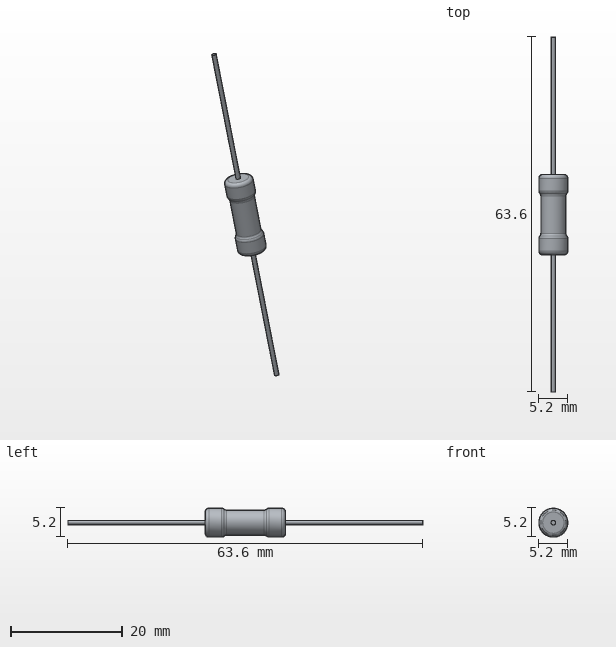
import cadquery as cq
import math

overall_length = 63.6
body_length = 14.45
end_diameter = 5.2
waist_diameter = 4.5
lead_diameter = 0.8
end_rounding = 0.7
shoulder_hollow = 0.7
waist_length = 6.7

half_body = body_length / 2
half_waist = waist_length / 2
end_radius = end_diameter / 2
waist_radius = waist_diameter / 2
lead_length = (overall_length - body_length) / 2

shoulder_step = end_radius - waist_radius
shoulder_angle = math.acos(1 - shoulder_step / (end_rounding + shoulder_hollow))
shoulder_length = (end_rounding + shoulder_hollow) * math.sin(shoulder_angle)
shoulder_outer = half_waist + shoulder_length


def hollow_point(angle, side):
    """Radius and Y position on the concave arc, turned from its waist end."""
    return (
        waist_radius + shoulder_hollow * (1 - math.cos(angle)),
        side * (half_waist + shoulder_hollow * math.sin(angle)),
    )


def crown_point(angle, side):
    """Radius and Y position on the convex arc, turned from its end-cylinder end."""
    return (
        end_radius - end_rounding * (1 - math.cos(angle)),
        side * (shoulder_outer - end_rounding * math.sin(angle)),
    )


def make_body():
    """Waisted resistor body, revolved from its profile and rounded at both rims."""
    middle = shoulder_angle / 2
    profile = (
        cq.Workplane("XY")
        .moveTo(0, -half_body)
        .lineTo(end_radius, -half_body)
        .lineTo(end_radius, -shoulder_outer)
        .threePointArc(crown_point(middle, -1), crown_point(shoulder_angle, -1))
        .threePointArc(hollow_point(middle, -1), (waist_radius, -half_waist))
        .lineTo(waist_radius, half_waist)
        .threePointArc(hollow_point(middle, 1), hollow_point(shoulder_angle, 1))
        .threePointArc(crown_point(middle, 1), (end_radius, shoulder_outer))
        .lineTo(end_radius, half_body)
        .lineTo(0, half_body)
        .close()
    )
    blank = profile.revolve(360, (0, 0, 0), (0, 1, 0))
    return blank.faces("<Y or >Y").edges().fillet(end_rounding).solids()


def make_lead(side):
    """Straight wire standing on the end face at +Y (side = 1) or -Y (side = -1)."""
    start = cq.Vector(0, side * half_body, 0)
    direction = cq.Vector(0, side, 0)
    return cq.Solid.makeCylinder(lead_diameter / 2, lead_length, start, direction)


body = make_body()
leads = [make_lead(side) for side in (-1, 1)]

result = cq.Compound.makeCompound([body.val(), *leads])